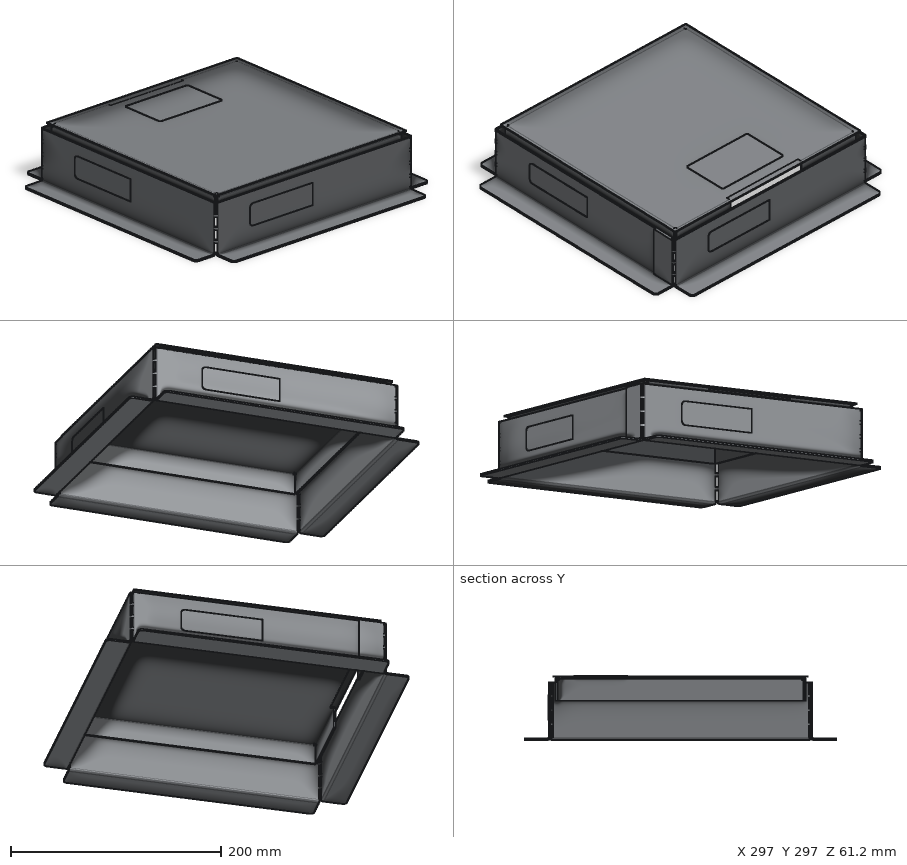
import cadquery as cq
import math

sheet = 1.8
edge_bend = 0.5
bend_leg = 2.7

overall_width = 297.0
frame_width = 251.3
frame_height = 55.0
frame_half = frame_width / 2
inner_half = frame_half - sheet
flange_half_length = 123.0
flange_reach = overall_width / 2 - inner_half
flange_corner_radius = 4.0

corner_bend = 1.5
flat_half = inner_half - corner_bend
slot_width = 2.7
slot_half_depth = 4.2
slot_length = 10.0
slot_pitch = 13.5
slot_count = 4
top_bridge = 1.5

tab_length = 27.3
seam_gap = 1.2
tab_half = frame_half + sheet

label_thickness = 0.3
label_length = 80.0
wall_label_height = 23.2
wall_label_bottom = 19.3
wall_label_radius = 4.2
y_wall_label_start = -76.0
x_wall_label_start = -82.0
plate_label_width = 50.5
plate_label_radius = 2.0
plate_label_x = -101.3
plate_label_y = -39.5

overall_height = 61.2
plate_half = 121.2
plate_thickness = 1.0
plate_top = overall_height - label_thickness
tray_top = plate_top - plate_thickness
tray_half = 119.0
skirt_half_length = 117.0
bend_half_length = 115.5
skirt_depth = 22.5
notch_width = 93.0
notch_depth = 5.3


def box(x_range, y_range, z_range):
    """Axis-aligned box between the given limits."""
    size = [high - low for low, high in (x_range, y_range, z_range)]
    return cq.Workplane("XY").box(*size, centered=False).translate((x_range[0], y_range[0], z_range[0]))


def square_prism(half_width, z_range):
    """Upright prism with a square section centred on the Z axis."""
    return box((-half_width, half_width), (-half_width, half_width), z_range)


def turned(body, quarter_turns):
    """Move a -Y side feature clockwise, seen from above: one quarter turn puts it on the -X side."""
    return body.rotate((0, 0, 0), (0, 0, 1), -90 * quarter_turns)


def bent_strip(plane, inner_bend, x_leg, y_leg, length):
    """Bent L-section strip with its outer corner on the plane's origin, extruded along the normal."""
    outer_bend = inner_bend + sheet
    outer_mid = outer_bend * (1 - math.sqrt(0.5))
    inner_mid = outer_bend - inner_bend * math.sqrt(0.5)
    return (
        cq.Workplane(plane)
        .moveTo(x_leg, 0)
        .lineTo(outer_bend, 0)
        .threePointArc((outer_mid, outer_mid), (0, outer_bend))
        .lineTo(0, y_leg)
        .lineTo(sheet, y_leg)
        .lineTo(sheet, outer_bend)
        .threePointArc((inner_mid, inner_mid), (outer_bend, sheet))
        .lineTo(x_leg, sheet)
        .close()
        .extrude(length)
    )


def make_walls():
    """Square ring of walls above the foot bends, cut open at the seam corner (-X, +Y)."""
    z_range = (bend_leg, frame_height)
    outside = square_prism(frame_half, z_range).edges("|Z").fillet(corner_bend + sheet)
    inside = square_prism(inner_half, z_range).edges("|Z").fillet(corner_bend)
    seam = box((-frame_half, seam_gap - flat_half), (flat_half, frame_half), z_range)
    return outside.cut(inside).cut(seam)


def make_seam_tab():
    """Bend and tab that close the seam corner."""
    corner = cq.Plane(origin=(-frame_half, tab_half, bend_leg), xDir=(0, -1, 0), normal=(0, 0, 1))
    return bent_strip(corner, corner_bend, tab_half - flat_half, tab_length, frame_height - bend_leg)


def make_flange(quarter_turns, left_half_length):
    """Foot bend and outward flange of one wall."""
    length = left_half_length + flange_half_length
    corner = cq.Plane(origin=(flange_half_length, -inner_half, 0), xDir=(0, -1, 0), normal=(-1, 0, 0))
    flange = bent_strip(corner, edge_bend, flange_reach, bend_leg, length)
    flange = flange.edges("|Z and <Y").fillet(flange_corner_radius)
    return turned(flange, quarter_turns)


def make_corner_slots(x_side, y_side):
    """Row of upright slots, one solid each, cut diagonally through one corner bend."""
    far = tab_half if (x_side, y_side) == (-1, 1) else frame_half
    angle = math.degrees(math.atan2(y_side, x_side))
    slots = []
    for number in range(slot_count):
        top = frame_height - top_bridge - number * slot_pitch
        slot = box(
            (-slot_half_depth, slot_half_depth),
            (-slot_width / 2, slot_width / 2),
            (top - slot_length, top),
        )
        slot = slot.rotate((0, 0, 0), (0, 0, 1), angle)
        slots.append(slot.translate((x_side * frame_half, y_side * far, 0)))
    return slots


def make_frame():
    frame = make_walls().union(make_seam_tab())
    for quarter_turns in range(4):
        seam_length = sheet if quarter_turns == 1 else 0
        frame = frame.union(make_flange(quarter_turns, flange_half_length + seam_length))
    for x_side in (-1, 1):
        for y_side in (-1, 1):
            for slot in make_corner_slots(x_side, y_side):
                frame = frame.cut(slot)
    return frame


def make_tray():
    """Flat top with a skirt bent down on each side, relieved corners and a notch in the -X side."""
    bend_bottom = tray_top - bend_leg
    tray = square_prism(tray_half - bend_leg, (tray_top - sheet, tray_top))
    corner = cq.Plane(origin=(-skirt_half_length, -tray_half, tray_top), xDir=(0, 0, -1), normal=(1, 0, 0))
    skirt = bent_strip(corner, edge_bend, skirt_depth, bend_leg, 2 * skirt_half_length)
    for quarter_turns in range(4):
        tray = tray.union(turned(skirt, quarter_turns))
    relief = box((-tray_half, -bend_half_length), (-tray_half, -bend_half_length), (bend_bottom, tray_top))
    for quarter_turns in range(4):
        tray = tray.cut(turned(relief, quarter_turns))
    notch = box(
        (-tray_half, notch_depth - tray_half),
        (-notch_width / 2, notch_width / 2),
        (tray_top - skirt_depth, tray_top),
    )
    return tray.cut(notch)


def make_plate():
    return square_prism(plate_half, (tray_top, plate_top))


def make_wall_label(quarter_turns, start):
    """Label on the outside of one wall, rounded at its left end, which lies at the given start."""
    label = box(
        (start, start + label_length),
        (-frame_half - label_thickness, -frame_half),
        (wall_label_bottom, wall_label_bottom + wall_label_height),
    )
    return turned(label.edges("|Y and <X").fillet(wall_label_radius), quarter_turns)


def make_plate_label():
    label = box(
        (plate_label_x, plate_label_x + plate_label_width),
        (plate_label_y, plate_label_y + label_length),
        (plate_top, overall_height),
    )
    return label.edges("|Z").fillet(plate_label_radius)


frame = make_frame()
tray = make_tray()
plate = make_plate()
plate_label = make_plate_label()
wall_labels = [
    make_wall_label(quarter_turns, x_wall_label_start if quarter_turns % 2 else y_wall_label_start)
    for quarter_turns in range(4)
]

result = cq.Compound.makeCompound(
    [
        frame.val(),
        tray.val(),
        plate.val(),
        plate_label.val(),
        *[label.val() for label in wall_labels],
    ]
)